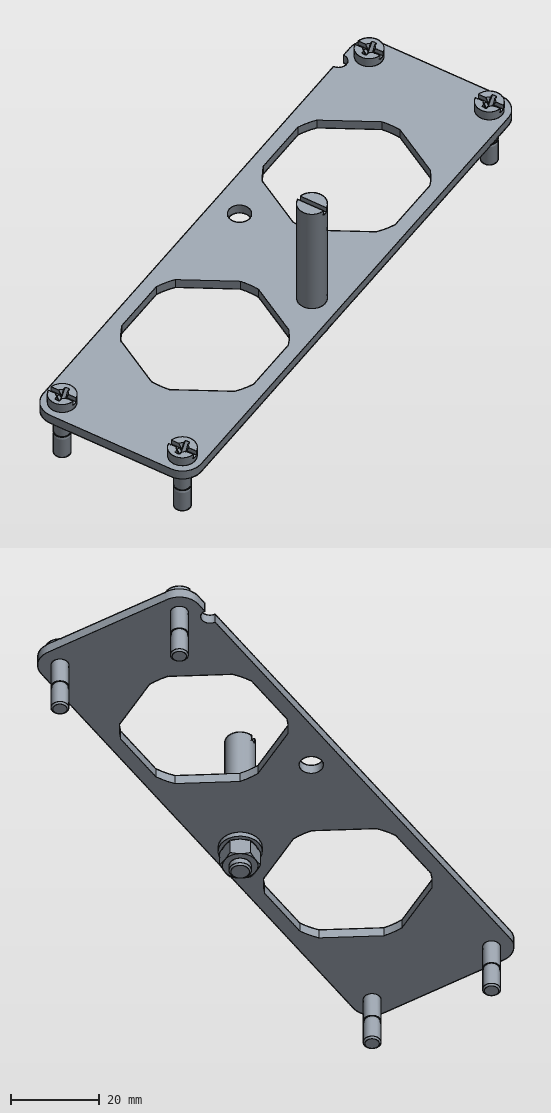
import cadquery as cq
import math

hexagon_half_angle = 30
flats_over_corners = math.cos(math.radians(hexagon_half_angle))

plate_width = 42
plate_length = 140
plate_thickness = 2.5
corner_radius = 5.0

opening_flats = 35
opening_diameter = 38.0
opening_offset = 30.0

hole_diameter = 5.5
hole_center = (-14, 7)
notch_diameter = 4.2
notch_y = 60.0

screw_x = 16.0
screw_y = 65.0
screw_length = 16.1
screw_diameter = 4.0
screw_chamfer = 0.4
head_diameter = 6.7
head_height = 2.5
head_slot_width = 1.3
head_slot_depth = 1.3
neck_diameter = 3.6
neck_start = 6.7
neck_length = 0.8

recess_arm_width = 1.1
recess_diameter = 4.5
recess_core_diameter = 3.0
recess_bottom_diameter = 1.1
recess_depth = 2.2

post_center = (14, -7)
post_diameter = 7
post_height = 30.0
post_slot_width = 1.1
post_slot_depth = 1.4
stud_diameter = 5.0
stud_length = 7.5
stud_chamfer = 0.4
washer_diameter = 10.0
washer_thickness = 1.3
nut_flats = 8.0
nut_height = 4.5
nut_turn = 3
nut_chamfer_angle = 30


def cylinder(diameter, bottom, top):
    return cq.Workplane("XY").workplane(offset=bottom).circle(diameter / 2).extrude(top - bottom)


def cone(bottom_diameter, top_diameter, bottom, top):
    return cq.Workplane("XY").add(
        cq.Solid.makeCone(bottom_diameter / 2, top_diameter / 2, top - bottom, pnt=cq.Vector(0, 0, bottom))
    )


def hexagon(flats, bottom, top, turn):
    """Hexagonal prism; at zero turn two of its flats face along X."""
    across_corners = flats / flats_over_corners
    prism = cq.Workplane("XY").workplane(offset=bottom).polygon(6, across_corners).extrude(top - bottom)
    return prism.rotate((0, 0, 0), (0, 0, 1), hexagon_half_angle + turn)


def slot_along_x(length, width, depth, top):
    return cq.Workplane("XY").workplane(offset=top - depth).rect(length, width).extrude(depth)


def make_plate():
    plate = cq.Workplane("XY").rect(plate_width, plate_length).extrude(plate_thickness)
    plate = plate.edges("|Z").fillet(corner_radius)
    opening = hexagon(opening_flats, 0, plate_thickness, 0)
    opening = opening.intersect(cylinder(opening_diameter, 0, plate_thickness))
    for y in (-opening_offset, opening_offset):
        plate = plate.cut(opening.translate((0, y, 0)))
    hole = cylinder(hole_diameter, 0, plate_thickness).translate((*hole_center, 0))
    notch = cylinder(notch_diameter, 0, plate_thickness).translate((-plate_width / 2, notch_y, 0))
    return plate.cut(hole).cut(notch)


def make_cross_recess(top):
    """Four arms narrowing towards the bottom, around a conical core."""
    bottom = top - recess_depth
    arm = slot_along_x(recess_diameter, recess_arm_width, recess_depth, top)
    arms = arm.union(arm.rotate((0, 0, 0), (0, 0, 1), 90))
    arms = arms.intersect(cone(recess_bottom_diameter, recess_diameter, bottom, top))
    return arms.union(cone(recess_bottom_diameter, recess_core_diameter, bottom, top))


def make_screw():
    """Slotted screw whose shank steps in to a neck and widens again along a cone below it."""
    head_top = plate_thickness + head_height
    tip = plate_thickness - screw_length
    shank = cylinder(screw_diameter, tip, plate_thickness).faces("<Z").chamfer(screw_chamfer)
    groove = cylinder(screw_diameter, -neck_start - neck_length, -neck_start)
    groove = groove.cut(cone(screw_diameter, neck_diameter, -neck_start - neck_length, -neck_start))
    head = cylinder(head_diameter, plate_thickness, head_top)
    head = head.cut(slot_along_x(head_diameter, head_slot_width, head_slot_depth, head_top))
    head = head.cut(make_cross_recess(head_top))
    return head.union(shank.cut(groove))


def make_nut():
    """Hexagon nut whose corners are cut back by a cone at each end."""
    top = -washer_thickness
    bottom = top - nut_height
    across_corners = nut_flats / flats_over_corners
    corner_drop = (across_corners - nut_flats) / 2 * math.tan(math.radians(nut_chamfer_angle))
    envelope = cone(nut_flats, across_corners, bottom, bottom + corner_drop)
    envelope = envelope.union(cylinder(across_corners, bottom + corner_drop, top - corner_drop))
    envelope = envelope.union(cone(across_corners, nut_flats, top - corner_drop, top))
    return hexagon(nut_flats, bottom, top, nut_turn).intersect(envelope)


def make_post():
    post_top = plate_thickness + post_height
    post = cylinder(post_diameter, plate_thickness, post_top)
    post = post.cut(slot_along_x(post_diameter, post_slot_width, post_slot_depth, post_top))
    stud = cylinder(stud_diameter, -stud_length, plate_thickness).faces("<Z").chamfer(stud_chamfer)
    washer = cylinder(washer_diameter, -washer_thickness, 0)
    return post.union(stud).union(washer).union(make_nut())


result = make_plate()
screw = make_screw()
for x in (-screw_x, screw_x):
    for y in (-screw_y, screw_y):
        result = result.union(screw.translate((x, y, 0)))
result = result.union(make_post().translate((*post_center, 0))).solids()